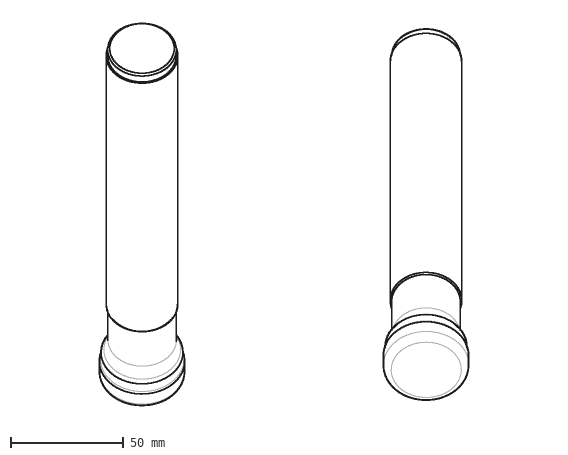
import cadquery as cq
import math

total_length = 228.5
head_radius = 19.09
neck_radius = 15.3
grip_radius = 16.0
cap_radius = 15.3

rim_top = 10.3
rim_bevel_top = 11.7
shoulder_top = 16.5
flare_bottom = 18.5
flare_top = 25.4
grip_bottom = 49.4
grip_top = 223.5

head_fillet = 3.5
shoulder_bottom_radius = 18.63
flare_bottom_radius = 17.1
cap_bevel = 1.0
grip_bevel = grip_radius - neck_radius

flare_height = flare_top - flare_bottom
flare_growth = flare_bottom_radius - neck_radius
flare_arc_radius = (flare_height**2 + flare_growth**2) / (2 * flare_growth)
flare_angle = math.asin(flare_height / flare_arc_radius)
flare_mid = (
    neck_radius + flare_arc_radius * (1 - math.cos(flare_angle / 2)),
    flare_top - flare_arc_radius * math.sin(flare_angle / 2),
)

shoulder_top_radius = flare_bottom_radius + (flare_bottom - shoulder_top) * math.tan(flare_angle)


def make_handle():
    """Solid round handle: flared head, straight neck and slightly thicker grip."""
    profile = (
        cq.Workplane("XZ")
        .moveTo(0, 0)
        .lineTo(head_radius, 0)
        .lineTo(head_radius, rim_top)
        .lineTo(shoulder_bottom_radius, rim_bevel_top)
        .lineTo(shoulder_top_radius, shoulder_top)
        .lineTo(flare_bottom_radius, flare_bottom)
        .threePointArc(flare_mid, (neck_radius, flare_top))
        .lineTo(neck_radius, grip_bottom)
        .lineTo(grip_radius, grip_bottom + grip_bevel)
        .lineTo(grip_radius, grip_top)
        .lineTo(0, grip_top)
        .close()
    )
    handle = profile.revolve(360, (0, 0, 0), (0, 1, 0))
    return handle.faces("<Z").edges().fillet(head_fillet)


def make_end_cap():
    """Round cap resting on the upper end of the grip, bevelled at its top edge."""
    cap = (
        cq.Workplane("XY")
        .workplane(offset=grip_top)
        .circle(cap_radius)
        .extrude(total_length - grip_top)
    )
    return cap.faces(">Z").edges().chamfer(cap_bevel)


handle = make_handle()
end_cap = make_end_cap()

result = cq.Compound.makeCompound([handle.val(), end_cap.val()])